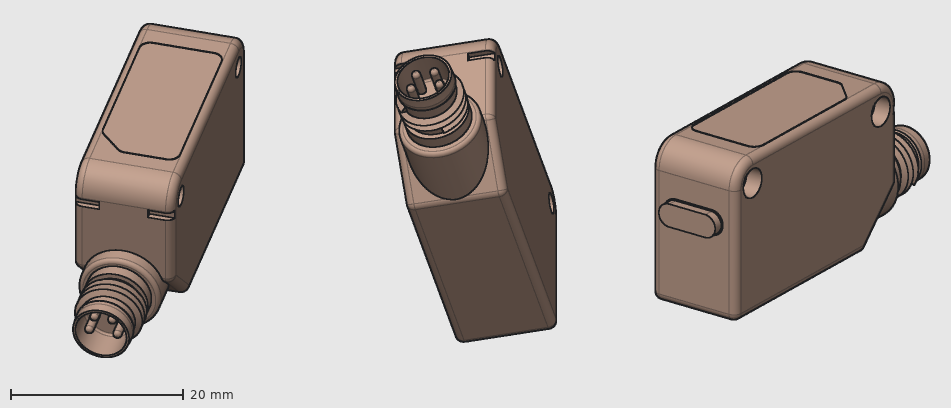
import cadquery as cq

overall_length = 43.4
body_width = 12.0
body_length = 32.05
body_height = 20.0
top_corner_radius = 3.35
bevel_leg = 6.45
edge_round = 1.0

hole_diameter = 2.47
counterbore_diameter = 3.65
counterbore_depth = 2.15
countersink_diameter = 3.12

label_width = 9.9
label_length = 20.95
label_front_gap = 5.5
label_corner_radius = 1.3
label_cut_corner = 3.05
label_depth = 0.1

notch_length = 3.1
notch_height = 1.05
notch_depth = 0.7
notch_bottom = 15.4

button_width = 8.05
button_height = 2.9
button_center_z = 12.0
button_projection = 1.35
collar_margin = 0.15
collar_thickness = 0.15

connector_length = overall_length - body_length - button_projection
flange_center_z = 5.05
flange_radius = 4.9
flange_length = 2.0
flange_round = 0.5
plug_center_z = 5.15
shoulder_radius = 3.9
shoulder_end = 3.5
core_radius = 3.25
tip_start = 8.0
tip_radius = 3.45
tip_chamfer = 0.2
tip_land_end = 8.8
tip_end_radius = 3.4

thread_pitch = 1.0
thread_radius = 4.0
thread_turns = 2.8
thread_start = 4.15
thread_start_angle = -75
thread_root_width = 0.95
thread_root_sink = 0.15

socket_radius = 3.1
socket_depth = 4.0
socket_floor_round = 0.25
pin_radius = 0.5
pin_tip_round = 0.48
pin_recess = 0.6
pin_positions = [(-1.1, 1.5), (1.1, 1.5), (-1.7, -0.45), (1.7, -0.45)]


def make_body():
    outline = (
        cq.Workplane("YZ")
        .moveTo(bevel_leg, 0)
        .lineTo(body_length, 0)
        .lineTo(body_length, body_height - top_corner_radius)
        .radiusArc((body_length - top_corner_radius, body_height), -top_corner_radius)
        .lineTo(top_corner_radius, body_height)
        .radiusArc((0, body_height - top_corner_radius), -top_corner_radius)
        .lineTo(0, bevel_leg)
        .close()
    )
    block = outline.extrude(body_width / 2, both=True)
    low_cross_edges = cq.selectors.BoxSelector(
        (-body_width, -0.45, -0.45), (body_width, body_length + 0.45, bevel_leg + 0.45)
    )
    block = block.edges("|X").edges(low_cross_edges).fillet(edge_round)
    return block.faces("<X or >X").edges().fillet(edge_round)


def mounting_hole(y):
    z = body_height - top_corner_radius
    left_face = cq.Workplane("YZ", origin=(-body_width / 2, y, z))
    bore = left_face.circle(hole_diameter / 2).extrude(body_width)
    counterbore = left_face.circle(counterbore_diameter / 2).extrude(counterbore_depth)
    sink_depth = (countersink_diameter - hole_diameter) / 2
    countersink = (
        left_face.workplane(offset=counterbore_depth)
        .circle(countersink_diameter / 2)
        .workplane(offset=sink_depth)
        .circle(hole_diameter / 2)
        .loft()
    )
    return bore.union(counterbore).union(countersink)


def label_recess():
    left = -label_width / 2
    right = label_width / 2
    front = label_front_gap
    back = front + label_length
    corners = [
        (left + label_cut_corner, front),
        (right, front),
        (right, back),
        (left, back),
        (left, front + label_cut_corner),
    ]
    floor = cq.Workplane("XY", origin=(0, 0, body_height - label_depth))
    return floor.polyline(corners).close().extrude(label_depth).edges("|Z").fillet(label_corner_radius)


def notch(side):
    x = side * (body_width - notch_length) / 2
    z = notch_bottom + notch_height / 2
    return cq.Workplane("XZ", origin=(x, 0, z)).rect(notch_length, notch_height).extrude(-notch_depth)


def make_button():
    back_face = cq.Workplane("XZ", origin=(0, body_length, button_center_z))
    collar_width = button_width + 2 * collar_margin
    collar_height = button_height + 2 * collar_margin
    button = back_face.slot2D(button_width, button_height).extrude(-button_projection)
    collar = back_face.slot2D(collar_width, collar_height).extrude(-collar_thickness)
    return button.union(collar)


def make_thread():
    height = thread_pitch * thread_turns
    root_radius = core_radius - thread_root_sink
    half_width = thread_root_width / 2
    path = cq.Wire.makeHelix(thread_pitch, height, root_radius)
    profile = [(root_radius, -half_width), (thread_radius, 0), (root_radius, half_width)]
    ridge = cq.Workplane("XZ").polyline(profile).close().sweep(cq.Workplane(path), isFrenet=True)
    ridge = ridge.rotate((0, 0, 0), (0, 0, 1), thread_start_angle).translate((0, 0, thread_start))
    return ridge.rotate((0, 0, 0), (1, 0, 0), 90)


def make_flange():
    back_plane = cq.Workplane("XZ", origin=(0, bevel_leg, flange_center_z))
    flange = back_plane.circle(flange_radius).extrude(bevel_leg + flange_length)
    return flange.faces("<Y").edges().fillet(flange_round)


def make_plug():
    section = [
        (0, 0),
        (shoulder_radius, 0),
        (shoulder_radius, -shoulder_end),
        (core_radius, -shoulder_end),
        (core_radius, -tip_start),
        (tip_radius, -tip_start - tip_chamfer),
        (tip_radius, -tip_land_end),
        (tip_end_radius, -connector_length),
        (0, -connector_length),
    ]
    plug = cq.Workplane("XY").polyline(section).close().revolve(360, (0, 0, 0), (0, 1, 0))
    socket_floor = cq.Workplane("XZ", origin=(0, socket_depth - connector_length, 0))
    socket = socket_floor.circle(socket_radius).extrude(socket_depth)
    socket = socket.faces(">Y").edges().fillet(socket_floor_round)
    pins = socket_floor.pushPoints(pin_positions).circle(pin_radius).extrude(socket_depth - pin_recess)
    pins = pins.faces("<Y").edges().fillet(pin_tip_round)
    return plug.union(make_thread()).cut(socket).union(pins).translate((0, 0, plug_center_z))


body = make_body().cut(label_recess())
for hole_y in (top_corner_radius, body_length - top_corner_radius):
    body = body.cut(mounting_hole(hole_y))
for side in (-1, 1):
    body = body.cut(notch(side))

result = body.union(make_button()).union(make_flange()).union(make_plug())